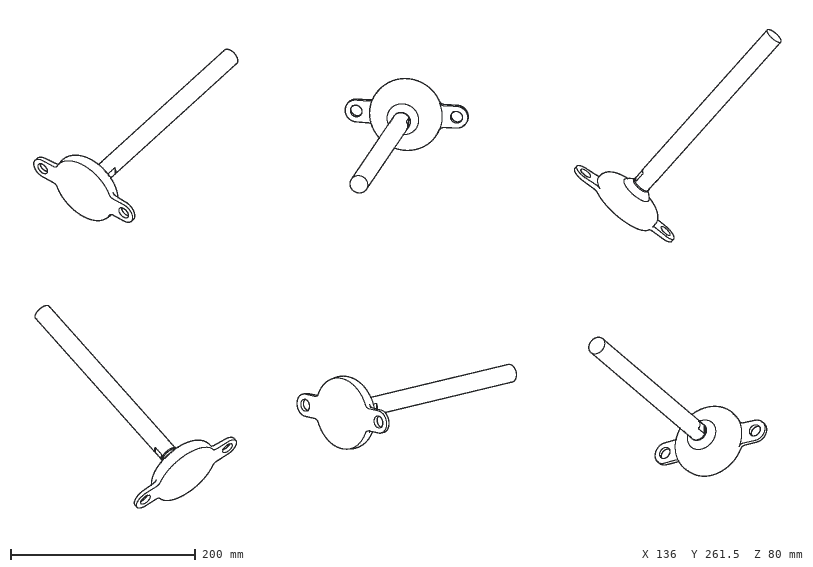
import cadquery as cq
import math

total_length = 261.5
total_width = 136.0
base_y = -total_length / 2

foot_radius = 40.0
underside_radius = 39.2
rim_bottom_height = 5.5
rim_top_height = 8.5
shoulder_radius = 34.0
shoulder_height = 15.7
dome_radius = 17.5
dome_height = 23.0
neck_radius = 10.0
neck_height = 30.0
foot_height = 31.6
shoulder_bulge = 1.3
dome_bulge = 0.8

ear_width = 24.8
ear_end_radius = ear_width / 2
hole_x = total_width / 2 - ear_end_radius
hole_diameter = 13.0
ear_tip_thickness = 4.0
ear_root_thickness = rim_bottom_height
ear_root_x = 39.2
ear_fillet = 5.2

spindle_radius = neck_radius
flat_spacing = 17.0
flat_start_height = 33.2
flat_length = 12.0


def bulged_midpoint(start, end, bulge):
    """Point on an arc from start to end, pushed outward from the chord's middle."""
    dx = end[0] - start[0]
    dy = end[1] - start[1]
    chord = math.hypot(dx, dy)
    middle_x = (start[0] + end[0]) / 2
    middle_y = (start[1] + end[1]) / 2
    return (middle_x + bulge * dy / chord, middle_y - bulge * dx / chord)


def revolved_foot():
    rim_top = (foot_radius, rim_top_height)
    shoulder = (shoulder_radius, shoulder_height)
    dome_edge = (dome_radius, dome_height)
    neck = (neck_radius, neck_height)
    profile = (
        cq.Workplane("XY")
        .lineTo(underside_radius, 0)
        .lineTo(foot_radius, rim_bottom_height)
        .lineTo(*rim_top)
        .threePointArc(bulged_midpoint(rim_top, shoulder, shoulder_bulge), shoulder)
        .lineTo(*dome_edge)
        .threePointArc(bulged_midpoint(dome_edge, neck, dome_bulge), neck)
        .lineTo(neck_radius, foot_height)
        .lineTo(0, foot_height)
        .close()
    )
    return profile.revolve(360, (0, 0), (0, 1))


def ear_outline():
    """Slot-shaped bar and tapered disc as one block, with filleted inner corners."""
    bar = (
        cq.Workplane("XZ")
        .slot2D(total_width, ear_width)
        .extrude(-ear_root_thickness)
    )
    disc = (
        cq.Workplane("XY")
        .polyline([
            (0, 0),
            (underside_radius, 0),
            (foot_radius, ear_root_thickness),
            (0, ear_root_thickness),
        ])
        .close()
        .revolve(360, (0, 0), (0, 1))
    )
    block = bar.union(disc)
    corner_radius = (underside_radius + foot_radius) / 2
    corner_x = math.sqrt(corner_radius**2 - ear_end_radius**2)
    for x in (-corner_x, corner_x):
        for z in (-ear_end_radius, ear_end_radius):
            corner = cq.selectors.NearestToPointSelector((x, ear_root_thickness / 2, z))
            block = block.edges(corner).fillet(ear_fillet)
    return block


def ear_side_section():
    """Side section of both ears, thinning from root to tip."""
    return (
        cq.Workplane("XY")
        .polyline([
            (-total_width / 2, 0),
            (total_width / 2, 0),
            (total_width / 2, ear_tip_thickness),
            (ear_root_x, ear_root_thickness),
            (-ear_root_x, ear_root_thickness),
            (-total_width / 2, ear_tip_thickness),
        ])
        .close()
        .extrude(foot_radius, both=True)
    )


def make_foot():
    holes = (
        cq.Workplane("XZ")
        .pushPoints([(-hole_x, 0), (hole_x, 0)])
        .circle(hole_diameter / 2)
        .extrude(-ear_root_thickness)
    )
    ears = ear_outline().intersect(ear_side_section())
    foot = revolved_foot().union(ears).cut(holes)
    return foot.translate((0, base_y, 0))


def make_spindle():
    spindle = (
        cq.Workplane("XZ", origin=(0, base_y + foot_height, 0))
        .circle(spindle_radius)
        .extrude(-(total_length - foot_height))
    )
    flat_center_y = base_y + flat_start_height + flat_length / 2
    for side in (-1, 1):
        cutter = cq.Workplane("XY").box(spindle_radius, flat_length, 2 * spindle_radius)
        cutter_x = side * (flat_spacing + spindle_radius) / 2
        spindle = spindle.cut(cutter.translate((cutter_x, flat_center_y, 0)))
    return spindle


foot = make_foot()
spindle = make_spindle()
result = cq.Compound.makeCompound([foot.val(), spindle.val()])